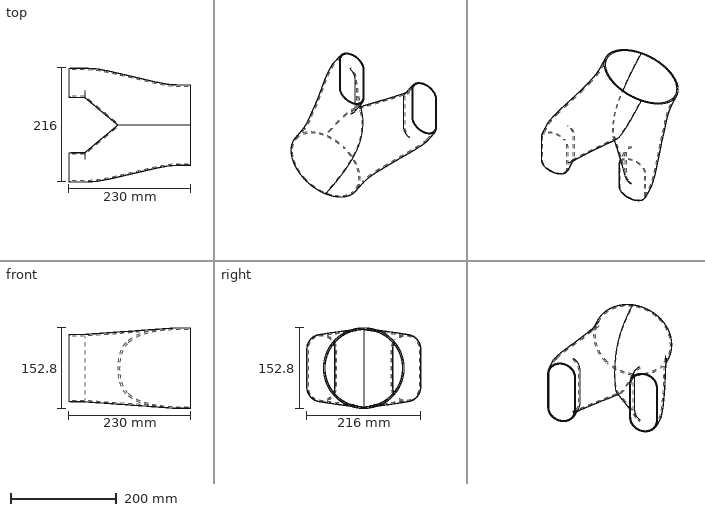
import cadquery as cq
import math


total_length = 230.0
total_width = 216.0
outlet_radius = 76.35
outlet_ring_length = 20.0
collar_width = 56.0
collar_height = 128.0
collar_length = 30.0
tip_length = 5.0
tip_inset = 0.75
wall = 3.0

outlet_corner_angle = math.radians(45)
section_count = 13
outer_ramp = 0.24
inner_end_ramp = 0.29
height_end_ramp = 0.1

transition_start = collar_length
transition_end = total_length - outlet_ring_length
transition_length = transition_end - transition_start
collar_outer_y = total_width / 2
collar_inner_y = collar_outer_y - collar_width
collar_center_y = collar_outer_y - collar_width / 2


def ease(t, start_ramp, end_ramp):
    """Go from 0 to 1 at a constant slope, bending in and out over the two ramps."""
    slope = 1 / (1 - (start_ramp + end_ramp) / 2)
    if t < start_ramp:
        return slope * t**2 / (2 * start_ramp)
    if t > 1 - end_ramp:
        return 1 - slope * (1 - t)**2 / (2 * end_ramp)
    return slope * (t - start_ramp / 2)


def blend(start, end, fraction):
    return start + (end - start) * fraction


def oval_wire(x, center_y, half_width, half_height, corner_angle):
    """Oval of four tangent arcs; a corner angle of zero makes the sides straight."""
    tangent = math.tan(corner_angle / 2)
    end_radius = (half_width - half_height * tangent) / (1 - tangent)
    corner_y = end_radius * math.cos(corner_angle)
    corner_z = half_height - end_radius * (1 - math.sin(corner_angle))

    def point(y, z):
        return cq.Vector(x, center_y + y, z)

    def side(sign):
        start = point(sign * corner_y, -sign * corner_z)
        end = point(sign * corner_y, sign * corner_z)
        if corner_angle == 0:
            return cq.Edge.makeLine(start, end)
        return cq.Edge.makeThreePointArc(start, point(sign * half_width, 0), end)

    def cap(sign):
        return cq.Edge.makeThreePointArc(
            point(sign * corner_y, sign * corner_z),
            point(0, sign * half_height),
            point(-sign * corner_y, sign * corner_z),
        )

    return cq.Wire.assembleEdges([side(1), cap(1), side(-1), cap(-1)])


def transition_wire(t, inset):
    """Cross-section at fraction t of the way from collar to ring."""
    outer_y = blend(collar_outer_y, outlet_radius, ease(t, outer_ramp, outer_ramp))
    inner_y = blend(collar_inner_y, -outlet_radius, ease(t, 0, inner_end_ramp))
    height_fraction = ease(t, 0, height_end_ramp)
    half_height = blend(collar_height / 2, outlet_radius, height_fraction)
    return oval_wire(
        transition_start + t * transition_length,
        (outer_y + inner_y) / 2,
        (outer_y - inner_y) / 2 - inset,
        half_height - inset,
        outlet_corner_angle * height_fraction,
    )


def collar_wire(x, inset):
    return oval_wire(x, collar_center_y, collar_width / 2 - inset, collar_height / 2 - inset, 0)


def transition(inset):
    steps = section_count - 1
    return cq.Solid.makeLoft([transition_wire(i / steps, inset) for i in range(section_count)])


def straight_collar(start, inset):
    length = collar_length - start
    return cq.Solid.extrudeLinear(collar_wire(start, inset), [], cq.Vector(length, 0, 0))


def outlet_ring(inset):
    return cq.Solid.makeCylinder(
        outlet_radius - inset, outlet_ring_length, cq.Vector(transition_end, 0, 0), cq.Vector(1, 0, 0)
    )


def branch(mirrored):
    """One hollow half of the duct, on the +Y side unless mirrored."""
    tip = cq.Solid.makeLoft([collar_wire(0, tip_inset), collar_wire(tip_length, 0)], True)
    outside = (
        cq.Workplane(obj=tip)
        .union(cq.Workplane(obj=straight_collar(tip_length, 0)))
        .union(cq.Workplane(obj=transition(0)))
        .union(cq.Workplane(obj=outlet_ring(0)))
    )
    positive_y_half = cq.Workplane("XY").box(
        total_length, total_width, 2 * total_width, centered=(False, False, True)
    )
    body = outside.intersect(positive_y_half)
    for passage in (straight_collar(0, wall), transition(wall), outlet_ring(wall)):
        body = body.cut(cq.Workplane(obj=passage))
    return body.mirror("XZ") if mirrored else body


branches = [branch(mirrored) for mirrored in (False, True)]

result = cq.Compound.makeCompound([half.val() for half in branches])